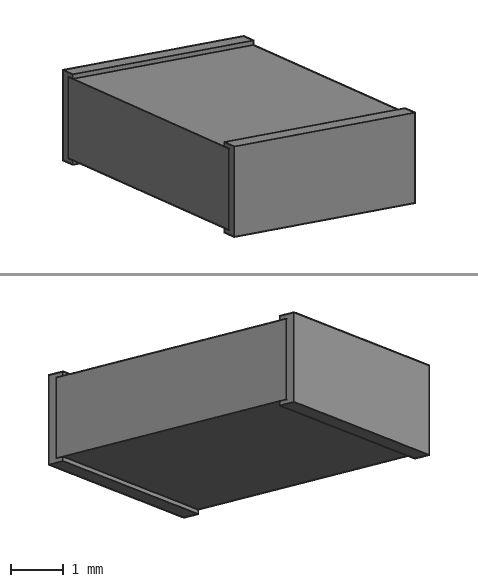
import cadquery as cq

length = 6.0
width = 4.1
height = 1.8

cap_reach = 0.35
cap_end_wall = 0.19
cap_lip = 0.09

body_length = length - 2 * cap_end_wall
body_height = height - 2 * cap_lip


def make_body():
    """Plain block, centred in the height of the caps."""
    return cq.Workplane("XY").box(body_length, width, body_height).translate((0, 0, height / 2))


def make_end_cap(side):
    """Channel at the -X end (side = -1) or the +X end (side = 1), open toward the body."""
    cap_center_x = side * (length - cap_reach) / 2
    block = cq.Workplane("XY").box(cap_reach, width, height).translate((cap_center_x, 0, height / 2))
    return block.cut(make_body())


body = make_body()
end_caps = [make_end_cap(side) for side in (-1, 1)]

result = cq.Compound.makeCompound([body.val(), *[cap.val() for cap in end_caps]])